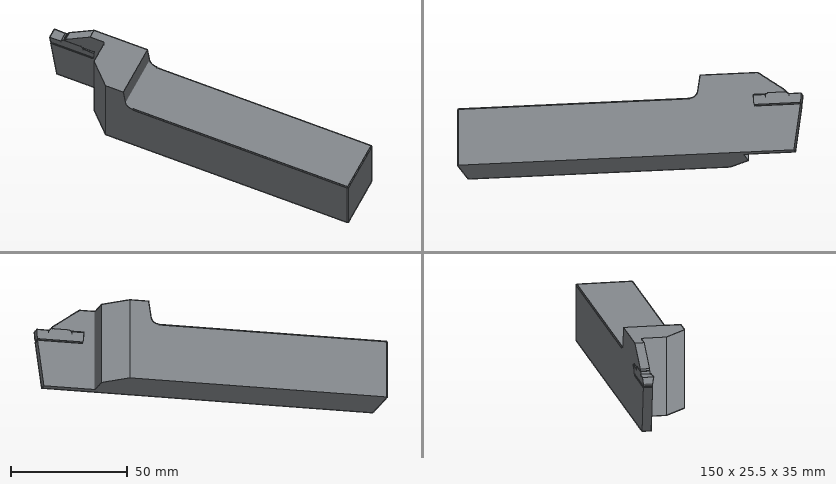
import cadquery as cq

length = 150.0
shank_width = 25.0
shank_height = 25.0
head_height = 35.0
head_top_start = 18.9
head_top_end = 44.1
head_back_foot = 45.6
head_back_fillet = 3.3
shank_start = 48.6
shank_chamfer = 0.5

blade_thickness = 4.0
blade_end = 25.8
blade_root_fillet = 0.9
corner_chamfer = 9.9
blade_foot = 3.2
blade_tip = 0.3
nose_x = 7.0
nose_z = 26.7

insert_length = 20.8
insert_bottom = 20.2
insert_land = 24.9
insert_crown = 25.8
land_length = 5.2
crown_start = 6.3
end_lean = 0.2
end_relief = 0.6
bottom_bevel = 0.6
rear_clearance = 0.5
side_overhang = 0.5
wing_tip_bottom = 21.9
wing_back_bottom = 24.0
wing_back_overhang = 0.3

blade_center = -blade_thickness / 2


def prism(points, y_back, depth):
    """Extrude an XZ outline from y_back toward -Y."""
    plane = cq.Workplane("XZ", origin=(0, y_back, 0))
    return plane.polyline(points).close().extrude(depth)


insert_outline = [
    (0, insert_land),
    (land_length, insert_land),
    (crown_start, insert_crown),
    (insert_length - crown_start, insert_crown),
    (insert_length - land_length, insert_land),
    (insert_length, insert_land),
    (insert_length - end_lean, wing_tip_bottom),
    (insert_length - end_relief, insert_bottom),
    (end_relief, insert_bottom),
    (end_lean, wing_tip_bottom),
]


def make_holder():
    head_outline = [
        (blade_foot, 0),
        (shank_start, 0),
        (shank_start, shank_height),
        (head_back_foot, shank_height),
        (head_top_end, head_height),
        (head_top_start, head_height),
        (nose_x, nose_z),
        (nose_x, insert_bottom),
        (blade_tip, insert_bottom),
    ]
    head = prism(head_outline, 0, shank_width)

    head_corner = (head_back_foot, -shank_width / 2, shank_height)
    head = head.edges(cq.selectors.NearestToPointSelector(head_corner)).fillet(head_back_fillet)

    shank_outline = [
        (shank_start, 0),
        (length, 0),
        (length, shank_height),
        (shank_start, shank_height),
    ]
    shank = prism(shank_outline, 0, shank_width)
    shank = shank.edges("(>Z and |X) or (>X and |Z) or (>X and >Z)").chamfer(shank_chamfer)
    body = head.union(shank)

    side_space = (
        cq.Workplane("XY")
        .moveTo(0, -blade_thickness)
        .lineTo(blade_end - blade_root_fillet, -blade_thickness)
        .radiusArc((blade_end, -blade_thickness - blade_root_fillet), blade_root_fillet)
        .lineTo(blade_end, corner_chamfer - shank_width)
        .lineTo(blade_end + corner_chamfer, -shank_width)
        .lineTo(0, -shank_width)
        .close()
        .extrude(head_height)
    )

    rear_gap = (
        cq.Workplane("XZ")
        .moveTo(insert_length - land_length, insert_land)
        .rect(land_length, rear_clearance, centered=False)
        .extrude(blade_thickness)
    )
    return body.cut(side_space).cut(prism(insert_outline, 0, blade_thickness)).cut(rear_gap)


def wing_section(overhang, bottom):
    """Corner points (Y, Z) of a cutting end, widest at its land."""
    half_blade = blade_thickness / 2
    half_land = half_blade + overhang
    return [
        (blade_center - half_land, insert_land),
        (blade_center + half_land, insert_land),
        (blade_center + half_blade, bottom),
        (blade_center - half_blade, bottom),
    ]


def make_insert():
    core = prism(insert_outline, 0, blade_thickness)
    core = core.faces("<Z").edges().chamfer(bottom_bevel)

    wing = (
        cq.Workplane("YZ")
        .polyline(wing_section(side_overhang, wing_tip_bottom)).close()
        .workplane(offset=land_length)
        .polyline(wing_section(wing_back_overhang, wing_back_bottom)).close()
        .loft(ruled=True)
    )
    wing = wing.intersect(prism(insert_outline, side_overhang, blade_thickness + 2 * side_overhang))
    rear_wing = wing.mirror("YZ", (insert_length / 2, 0, 0))
    return core.union(wing).union(rear_wing)


holder = make_holder()
insert = make_insert()
result = cq.Compound.makeCompound([holder.solids().val(), insert.solids().val()])